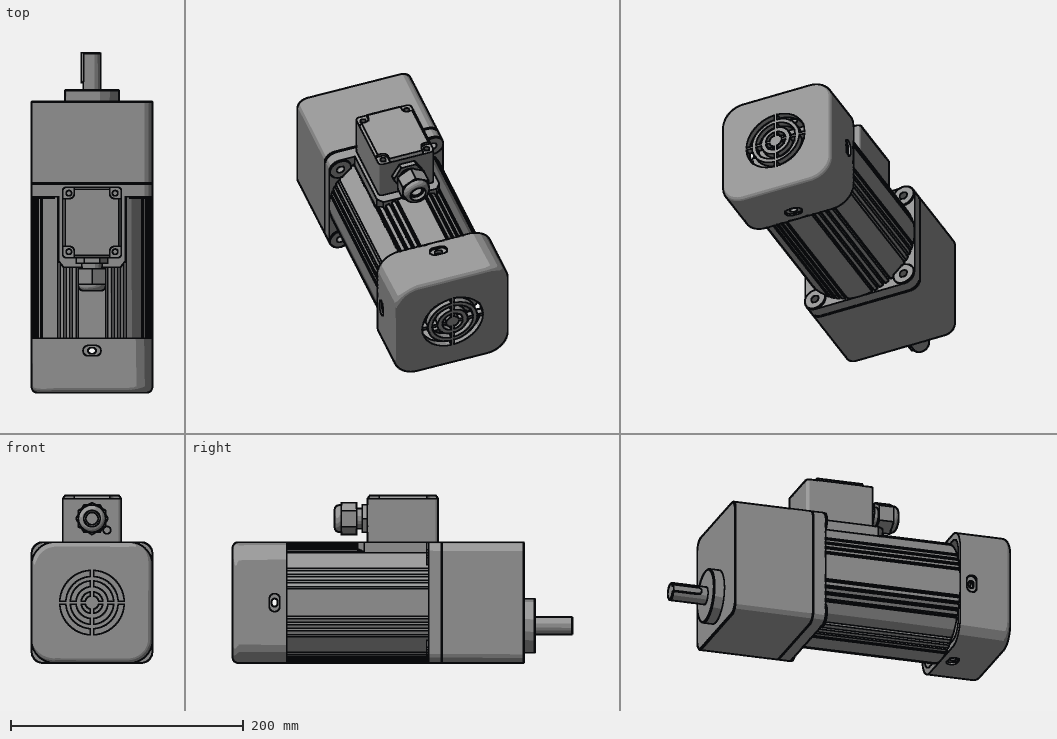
import cadquery as cq
import math


body_width = 104.0
half_width = body_width / 2
body_corner_radius = 10.0

cover_front = 46.7
flange_rear = 168.5
flange_front = 179.3
gearbox_front = 250.5
boss_front = 260.2
shaft_end = 292.0

shaft_z = -20.0
shaft_radius = 7.5
shaft_chamfer = 1.0
boss_radius = 23.5
boss_chamfer = 1.0
gearbox_chamfer = 1.0
key_width = 5.3
key_length = 25.7
key_top = 9.3

motor_radius = half_width
groove_width = 2.0
groove_depth = 3.0
first_groove = 12.7
groove_pitch = 5.3
grooves_per_half = 4
bolt_offset = half_width - body_corner_radius
bolt_hole_radius = 3.5
bolt_pad_radius = 9.5
bolt_pad_height = 1.5
saddle_width = 57.0
saddle_rear = 107.7
saddle_corner_x = 4.0
saddle_corner_y = 5.3

cover_corner_radius = 20.1
cover_rear_fillet = 5.3
cover_wall = 5.8
vent_rings = [(5.8, 9.3), (13.7, 18.7), (22.5, 27.7)]
vent_spoke_width = 2.5
side_slot_y = 36.2
side_recess_length = 15.5
side_recess_width = 9.0
side_recess_depth = 2.0
side_slot_length = 6.7
side_slot_width = 5.0

box_width = 50.2
box_rear = 116.0
box_front = 176.7
box_length = box_front - box_rear
box_mid_y = (box_front + box_rear) / 2
box_corner_radius = 3.2
lid_base_z = 89.4
lid_height = 2.5
lid_slope_inset = 2.0
lid_pocket_size = 10.0
lid_pocket_radius = 4.5
lid_screw_inset = 5.3
lid_screw_radius = 2.3
lid_screw_depth = 4.5
vent_hole_x = 12.8
vent_hole_z = 62.2
vent_hole_radius = 3.2
vent_hole_depth = 3.0

gland_z = 72.0
locknut_corner_radius = 13.7
locknut_length = 4.7
neck_radius = 8.8
neck_length = 4.7
cap_corner_radius = 13.7
cap_hex_length = 13.0
dome_radius = 11.7
dome_length = 5.8
dome_fillet = 4.5
gland_mouth_radius = 7.0
gland_mouth_depth = 4.5
gland_bore_radius = 5.3
gland_bore_depth = 14.5


def plane_at(y, z=0):
    """XZ plane at the given Y, with local x along +X, local y along +Z and normal along -Y."""
    return cq.Workplane("XZ", origin=(0, y, z))


def square_block(y_start, y_end, corner_radius):
    return (
        plane_at(y_end)
        .rect(body_width, body_width)
        .extrude(y_end - y_start)
        .edges("|Y")
        .fillet(corner_radius)
    )


def rod(radius, y_start, y_end, z=0):
    return plane_at(y_end, z).circle(radius).extrude(y_end - y_start)


def make_gearbox():
    block = square_block(flange_front, gearbox_front, body_corner_radius)
    block = block.faces("<Y or >Y").chamfer(gearbox_chamfer)
    boss = rod(boss_radius, gearbox_front, boss_front, shaft_z).faces(">Y").chamfer(boss_chamfer)
    shaft_seat = rod(shaft_radius, gearbox_front, boss_front, shaft_z)
    return block.union(boss).cut(shaft_seat)


def make_shaft():
    shaft = rod(shaft_radius, gearbox_front, shaft_end, shaft_z).faces(">Y").chamfer(shaft_chamfer)
    key_mid_y = shaft_end - key_length / 2
    key = (
        cq.Workplane("YZ", origin=(-key_top, key_mid_y, shaft_z))
        .rect(key_length, key_width)
        .extrude(key_top)
        .edges("|X and <Y")
        .fillet(0.49 * key_width)
    )
    return shaft.union(key)


def make_motor_barrel():
    """Round extrusion with four groups of straight grooves along its length."""
    barrel_length = flange_rear - cover_front
    barrel = rod(motor_radius, cover_front, flange_rear)
    for side_angle in (0, 90, 180, 270):
        for index in range(grooves_per_half):
            offset = first_groove + index * groove_pitch
            floor_height = math.sqrt(motor_radius**2 - offset**2) - groove_depth
            for x in (-offset, offset):
                groove = cq.Workplane().box(
                    groove_width, barrel_length, motor_radius, centered=(True, False, False)
                )
                groove = groove.translate((x, cover_front, floor_height))
                barrel = barrel.cut(groove.rotate((0, 0, 0), (0, 1, 0), side_angle))
    return barrel


def make_saddle():
    """Flat-topped seat under the terminal box, with chamfered rear corners."""
    half = saddle_width / 2
    return (
        cq.Workplane("XY")
        .moveTo(-half, flange_rear)
        .lineTo(-half, saddle_rear + saddle_corner_y)
        .lineTo(-half + saddle_corner_x, saddle_rear)
        .lineTo(half - saddle_corner_x, saddle_rear)
        .lineTo(half, saddle_rear + saddle_corner_y)
        .lineTo(half, flange_rear)
        .close()
        .extrude(half_width)
    )


def make_motor():
    bolt_points = [(x, z) for x in (-bolt_offset, bolt_offset) for z in (-bolt_offset, bolt_offset)]
    flange = square_block(flange_rear, flange_front, body_corner_radius)
    bolt_pads = plane_at(flange_rear).pushPoints(bolt_points).circle(bolt_pad_radius)
    flange = flange.union(bolt_pads.extrude(bolt_pad_height))
    bolt_holes = plane_at(flange_front).pushPoints(bolt_points).circle(bolt_hole_radius)
    flange = flange.cut(bolt_holes.extrude(flange_front - flange_rear + bolt_pad_height))
    barrel = make_motor_barrel().union(make_saddle())
    return flange.union(barrel)


def make_vents():
    """Concentric rings through the rear wall of the fan cover, broken by a cross of spokes."""
    vents = cq.Workplane()
    for inner, outer in vent_rings:
        vents = vents.add(plane_at(cover_wall).circle(outer).circle(inner).extrude(cover_wall))
    vents = vents.combine()
    spoke_length = 2 * half_width
    for size in ((vent_spoke_width, spoke_length), (spoke_length, vent_spoke_width)):
        vents = vents.cut(plane_at(cover_wall).rect(*size).extrude(cover_wall))
    return vents


def make_side_slot():
    """Recessed slot through the top wall of the fan cover."""
    top = cq.Workplane("XY", origin=(0, side_slot_y, half_width))
    recess = top.slot2D(side_recess_length, side_recess_width).extrude(-side_recess_depth)
    return recess.union(top.slot2D(side_slot_length, side_slot_width).extrude(-cover_wall))


def make_fan_cover():
    cover = square_block(0, cover_front, cover_corner_radius)
    cover = cover.faces("<Y").edges().fillet(cover_rear_fillet)
    cavity_width = body_width - 2 * cover_wall
    cavity = (
        plane_at(cover_front)
        .rect(cavity_width, cavity_width)
        .extrude(cover_front - cover_wall)
        .edges("|Y")
        .fillet(cover_corner_radius - cover_wall)
    )
    cover = cover.cut(cavity).cut(make_vents())
    for side_angle in (0, 90, 180, 270):
        cover = cover.cut(make_side_slot().rotate((0, 0, 0), (0, 1, 0), side_angle))
    return cover


def make_lid_pocket(x_side, y_side):
    """Corner pocket of the lid with its screw hole; the sides are -1 or +1."""
    corner = (x_side * box_width / 2, box_mid_y + y_side * box_length / 2)
    pocket = (
        cq.Workplane("XY", origin=(*corner, lid_base_z))
        .rect(2 * lid_pocket_size, 2 * lid_pocket_size)
        .extrude(lid_height)
        .edges("|Z")
        .fillet(lid_pocket_radius)
    )
    screw_x = corner[0] - x_side * lid_screw_inset
    screw_y = corner[1] - y_side * lid_screw_inset
    screw_hole = (
        cq.Workplane("XY", origin=(screw_x, screw_y, lid_base_z))
        .circle(lid_screw_radius)
        .extrude(-lid_screw_depth)
    )
    return pocket.union(screw_hole)


def make_terminal_box():
    box = (
        cq.Workplane("XY", origin=(0, box_mid_y, half_width))
        .rect(box_width, box_length)
        .extrude(lid_base_z + lid_height - half_width)
        .edges("|Z")
        .fillet(box_corner_radius)
        .faces(">Z")
        .chamfer(lid_height, lid_slope_inset)
    )
    for x_side in (-1, 1):
        for y_side in (-1, 1):
            box = box.cut(make_lid_pocket(x_side, y_side))
    vent_hole = (
        plane_at(box_rear, vent_hole_z)
        .center(vent_hole_x, 0)
        .circle(vent_hole_radius)
        .extrude(-vent_hole_depth)
    )
    return box.cut(vent_hole)


def make_gland():
    neck_front = box_rear - locknut_length
    cap_front = neck_front - neck_length
    dome_front = cap_front - cap_hex_length
    gland_end = dome_front - dome_length

    locknut = plane_at(box_rear, gland_z).polygon(6, 2 * locknut_corner_radius)
    locknut = locknut.extrude(locknut_length)
    neck = rod(neck_radius, cap_front, neck_front, gland_z)
    cap = plane_at(cap_front, gland_z).transformed(rotate=(0, 0, 30))
    cap = cap.polygon(6, 2 * cap_corner_radius).extrude(cap_hex_length)
    dome = rod(dome_radius, gland_end, dome_front, gland_z).faces("<Y").edges().fillet(dome_fillet)
    mouth = rod(gland_mouth_radius, gland_end, gland_end + gland_mouth_depth, gland_z)
    bore = rod(gland_bore_radius, gland_end, gland_end + gland_bore_depth, gland_z)
    return locknut.union(neck).union(cap).union(dome).cut(mouth).cut(bore)


gearbox = make_gearbox()
shaft = make_shaft()
motor = make_motor()
fan_cover = make_fan_cover()
terminal_box = make_terminal_box()
gland = make_gland()

result = cq.Compound.makeCompound(
    [gearbox.val(), shaft.val(), motor.val(), fan_cover.val(), terminal_box.val(), gland.val()]
)